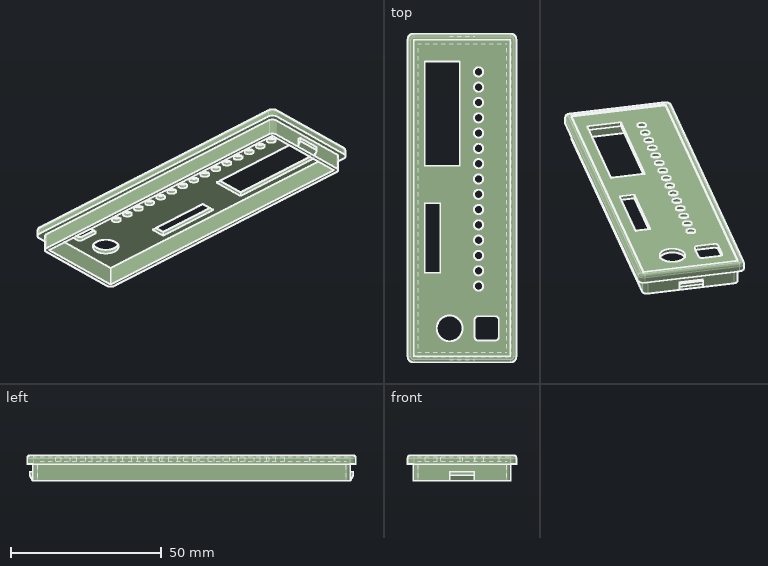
import cadquery as cq

FLANGE_X = 36.2
FLANGE_Y = 109.2
FLANGE_HEIGHT = 3.0
FLANGE_CORNER_RADIUS = 2.0
FLANGE_TOP_FILLET = 1.0

RIM_WIDTH = 1.0
RECESS_DEPTH = 0.5

TOTAL_HEIGHT = 8.5
FLANGE_OVERHANG = 1.85
SKIRT_CORNER_RADIUS = 1.6
WALL = 1.5
PANEL_THICKNESS = 1.5

CLIP_LENGTH = 8.0
CLIP_HEIGHT = 3.0
CLIP_RAMP_HEIGHT = 1.8
CLIP_PROJECTION = 1.0

WINDOW_LEFT = -12.3
LARGE_WINDOW_X = 11.5
LARGE_WINDOW_Y = 34.5
LARGE_WINDOW_CENTER_Y = 28.0
SMALL_WINDOW_X = 5.0
SMALL_WINDOW_Y = 23.0
SMALL_WINDOW_CENTER_Y = -13.3

LED_COUNT = 15
LED_DIAMETER = 3.0
LED_PITCH = 5.08
LED_X = 5.5
LED_ROW_CENTER_Y = 6.3

CONTROL_Y = -43.3
ROUND_HOLE_DIAMETER = 8.5
ROUND_HOLE_X = -4.1
SQUARE_HOLE_SIDE = 8.0
SQUARE_HOLE_X = 8.2
SQUARE_HOLE_CORNER_RADIUS = 1.2

SKIRT_X = FLANGE_X - 2 * FLANGE_OVERHANG
SKIRT_Y = FLANGE_Y - 2 * FLANGE_OVERHANG
FLANGE_BOTTOM = TOTAL_HEIGHT - FLANGE_HEIGHT
RECESS_INSET = FLANGE_TOP_FILLET + RIM_WIDTH
RECESS_FLOOR = TOTAL_HEIGHT - RECESS_DEPTH
PANEL_BOTTOM = RECESS_FLOOR - PANEL_THICKNESS


def block(size_x, size_y, bottom, top, center=(0, 0)):
    """Upright rectangular block between two heights."""
    plane = cq.Workplane("XY").workplane(offset=bottom)
    return plane.center(*center).rect(size_x, size_y).extrude(top - bottom)


def make_flange():
    flange = block(FLANGE_X, FLANGE_Y, FLANGE_BOTTOM, TOTAL_HEIGHT)
    flange = flange.edges("|Z").fillet(FLANGE_CORNER_RADIUS)
    return flange.faces(">Z").edges().fillet(FLANGE_TOP_FILLET)


def make_skirt():
    return block(SKIRT_X, SKIRT_Y, 0, FLANGE_BOTTOM).edges("|Z").fillet(SKIRT_CORNER_RADIUS)


def make_clip():
    """Ramped snap clip on the +Y end, rooted in the skirt wall."""
    wall_face = SKIRT_Y / 2
    root = wall_face - WALL / 2
    tip = wall_face + CLIP_PROJECTION
    return (
        cq.Workplane("YZ")
        .moveTo(root, 0)
        .lineTo(wall_face, 0)
        .lineTo(tip, CLIP_RAMP_HEIGHT)
        .lineTo(tip, CLIP_HEIGHT)
        .lineTo(root, CLIP_HEIGHT)
        .close()
        .extrude(CLIP_LENGTH / 2, both=True)
    )


def make_face_recess():
    return block(FLANGE_X - 2 * RECESS_INSET, FLANGE_Y - 2 * RECESS_INSET, RECESS_FLOOR, TOTAL_HEIGHT)


def make_cavity():
    return block(SKIRT_X - 2 * WALL, SKIRT_Y - 2 * WALL, 0, PANEL_BOTTOM)


def make_window(size_x, size_y, center_y):
    center = (WINDOW_LEFT + size_x / 2, center_y)
    return block(size_x, size_y, 0, TOTAL_HEIGHT, center)


def make_led_holes():
    row = cq.Workplane("XY").center(LED_X, LED_ROW_CENTER_Y)
    return row.rarray(1, LED_PITCH, 1, LED_COUNT).circle(LED_DIAMETER / 2).extrude(TOTAL_HEIGHT)


def make_round_hole():
    center = cq.Workplane("XY").center(ROUND_HOLE_X, CONTROL_Y)
    return center.circle(ROUND_HOLE_DIAMETER / 2).extrude(TOTAL_HEIGHT)


def make_square_hole():
    hole = block(SQUARE_HOLE_SIDE, SQUARE_HOLE_SIDE, 0, TOTAL_HEIGHT, (SQUARE_HOLE_X, CONTROL_Y))
    return hole.edges("|Z").fillet(SQUARE_HOLE_CORNER_RADIUS)


clip = make_clip()
result = make_flange().union(make_skirt()).cut(make_cavity())
result = result.union(clip).union(clip.mirror("XZ"))
result = result.cut(make_face_recess())
result = result.cut(make_window(LARGE_WINDOW_X, LARGE_WINDOW_Y, LARGE_WINDOW_CENTER_Y))
result = result.cut(make_window(SMALL_WINDOW_X, SMALL_WINDOW_Y, SMALL_WINDOW_CENTER_Y))
result = result.cut(make_led_holes())
result = result.cut(make_round_hole())
result = result.cut(make_square_hole())